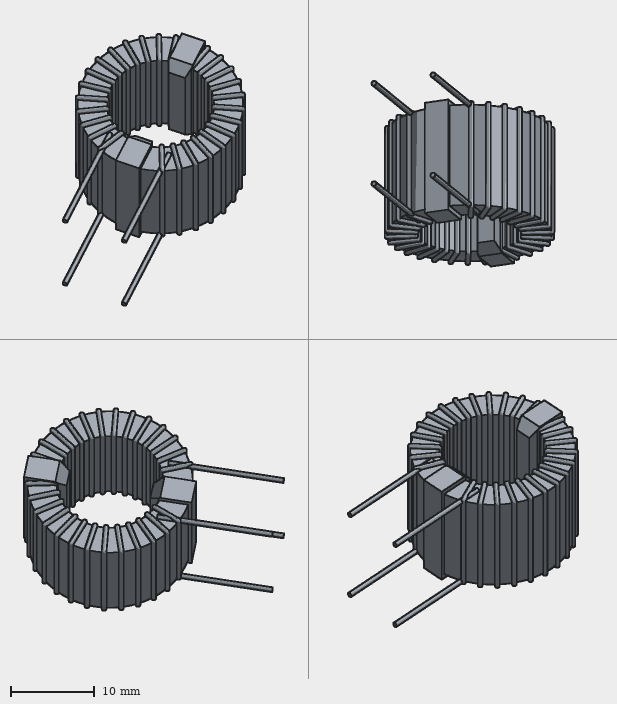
import cadquery as cq

core_outer_radius = 9.85
core_inner_radius = 6.37
core_height = 12.7

wire_radius = 0.3
turn_outer_radius = 9.85
turn_inner_radius = 6.43
turn_lift = 0.137
turn_half_height = core_height / 2 + turn_lift
turns_per_side = 13
turn_pitch = 12.0
first_turn_angle = 78.0

lead_spacing = 7.62
lead_start_y = -6.4
lead_end_y = -20.33

clip_width = 3.02
clip_height = 13.95
clip_outer_y = 10.15
clip_shoulder_y = 6.35
clip_side_taper_y = 6.13
clip_tip_y = 5.05
clip_tip_width = 2.1
clip_tip_height = 11.45


def make_core():
    """Plain ring with square edges."""
    return (
        cq.Workplane("XY")
        .circle(core_outer_radius)
        .circle(core_inner_radius)
        .extrude(core_height / 2, both=True)
    )


def make_turn(angle):
    """Closed rectangular loop of round wire with ball corners, lying in a radial plane."""
    loop_width = turn_outer_radius - turn_inner_radius
    loop_height = 2 * turn_half_height
    inner_low = cq.Vector(turn_inner_radius, 0, -turn_half_height)
    inner_high = cq.Vector(turn_inner_radius, 0, turn_half_height)
    outer_low = cq.Vector(turn_outer_radius, 0, -turn_half_height)
    outer_high = cq.Vector(turn_outer_radius, 0, turn_half_height)
    x_axis = cq.Vector(1, 0, 0)
    z_axis = cq.Vector(0, 0, 1)

    pieces = [
        cq.Solid.makeCylinder(wire_radius, loop_height, inner_low, z_axis),
        cq.Solid.makeCylinder(wire_radius, loop_height, outer_low, z_axis),
        cq.Solid.makeCylinder(wire_radius, loop_width, inner_low, x_axis),
        cq.Solid.makeCylinder(wire_radius, loop_width, inner_high, x_axis),
    ]
    for corner in (inner_low, inner_high, outer_low, outer_high):
        ball = cq.Workplane("XY").sphere(wire_radius).translate(corner)
        pieces.append(ball.val())
    loop = pieces[0].fuse(*pieces[1:])
    return cq.Workplane(loop).rotate((0, 0, 0), (0, 0, 1), angle)


def make_lead(x, z):
    """Straight round wire that starts inside the core wall and runs out in -Y."""
    length = lead_start_y - lead_end_y
    return (
        cq.Workplane("XZ", origin=(x, lead_start_y, z))
        .circle(wire_radius)
        .extrude(length)
    )


def make_clip():
    """Block over the core wall on the +Y side, tapering to a blunt tip inside the bore."""
    half_width = clip_width / 2
    half_tip_width = clip_tip_width / 2
    half_height = clip_height / 2
    half_tip_height = clip_tip_height / 2
    plan_outline = [
        (-half_width, clip_outer_y),
        (half_width, clip_outer_y),
        (half_width, clip_side_taper_y),
        (half_tip_width, clip_tip_y),
        (-half_tip_width, clip_tip_y),
        (-half_width, clip_side_taper_y),
    ]
    side_outline = [
        (clip_outer_y, -half_height),
        (clip_outer_y, half_height),
        (clip_shoulder_y, half_height),
        (clip_tip_y, half_tip_height),
        (clip_tip_y, -half_tip_height),
        (clip_shoulder_y, -half_height),
    ]
    plan = cq.Workplane("XY").polyline(plan_outline).close().extrude(half_height, both=True)
    side = cq.Workplane("YZ").polyline(side_outline).close().extrude(half_width, both=True)
    return plan.intersect(side)


clip = make_clip()
attachments = [clip, clip.mirror("XZ")]

for index in range(turns_per_side):
    turn_angle = first_turn_angle - index * turn_pitch
    attachments.append(make_turn(turn_angle))
    attachments.append(make_turn(180 - turn_angle))

for lead_x in (-lead_spacing / 2, lead_spacing / 2):
    for lead_z in (-core_height / 2, core_height / 2):
        attachments.append(make_lead(lead_x, lead_z))

core = make_core().val()
fused = core.fuse(*[attachment.val() for attachment in attachments])
result = cq.Workplane(fused.clean()).solids()